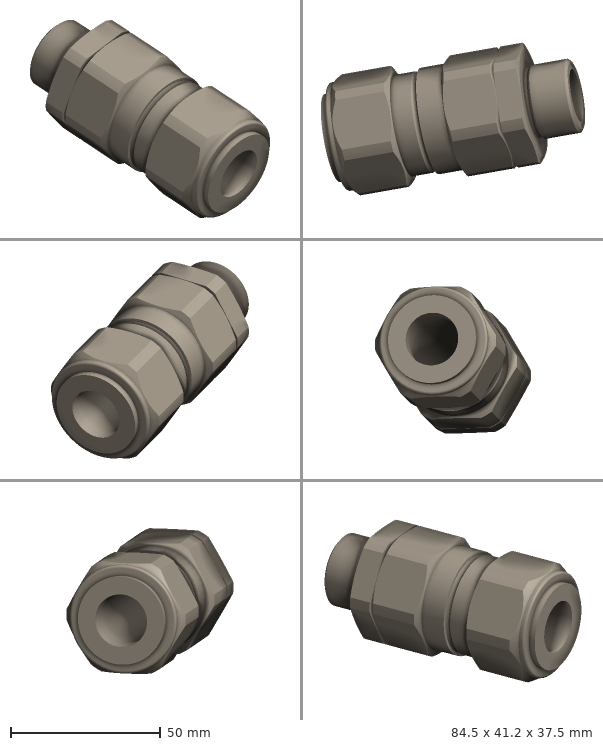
import cadquery as cq
import math


total_length = 84.55
bore_radius = 9.0

across_flats = 37.5
corner_radius = 20.6
hex_face_radius = 18.3

thread_radius = 12.6
thread_tip_radius = 11.5
thread_tip_chamfer = 0.85
thread_end = 13.0
thread_neck_radius = 11.5
thread_neck_start = 14.1
thread_neck_end = 14.4
thread_root_radius = 12.1

flange_start = 14.9
flange_chamfer = 0.7
body_hex_start = 23.25
body_hex_front_chamfer = 1.3
body_hex_end = 42.0
body_hex_back_chamfer = 1.4
nut_start = 59.8
nut_front_chamfer = 1.35
nut_cone_end = 80.3
nut_back_chamfer = 2.3

barrel_radius = 18.1
barrel_end = 50.7
groove_lip_radius = 17.0
groove_radius = 16.15
groove_start = 51.5
groove_end = 51.8
sleeve_start = 52.8
sleeve_radius = 17.25

nut_cone_radius = 18.4
nut_end = 82.3
nut_rim_fillet = 0.85
seal_radius = 15.0


def turned(profile):
    """Revolve a list of (x, radius) points about the X axis."""
    start_x = profile[0][0]
    end_x = profile[-1][0]
    outline = [(start_x, 0), *profile, (end_x, 0)]
    return cq.Workplane("XY").polyline(outline).close().revolve(360, (0, 0, 0), (1, 0, 0))


def hexagon(start_x, end_x, profile):
    """Hexagonal prism trimmed by a turned profile that rounds and chamfers its corners."""
    across_corners = across_flats / math.cos(math.pi / 6)
    prism = (
        cq.Workplane("YZ", origin=(start_x, 0, 0))
        .polygon(6, across_corners)
        .extrude(end_x - start_x)
    )
    return prism.intersect(turned(profile))


core = turned([
    (0, thread_tip_radius),
    (thread_tip_chamfer, thread_radius),
    (thread_end, thread_radius),
    (thread_neck_start, thread_neck_radius),
    (thread_neck_end, thread_neck_radius),
    (flange_start, thread_root_radius),
    (flange_start, barrel_radius),
    (barrel_end, barrel_radius),
    (barrel_end, groove_lip_radius),
    (groove_start, groove_radius),
    (groove_end, groove_radius),
    (sleeve_start, sleeve_radius),
    (nut_start, sleeve_radius),
])

flange = hexagon(flange_start, body_hex_start, [
    (flange_start, hex_face_radius),
    (flange_start + flange_chamfer, corner_radius),
    (body_hex_start, corner_radius),
])

body_hex = hexagon(body_hex_start, body_hex_end, [
    (body_hex_start, hex_face_radius),
    (body_hex_start + body_hex_front_chamfer, corner_radius),
    (body_hex_end - body_hex_back_chamfer, corner_radius),
    (body_hex_end, barrel_radius),
])

nut = hexagon(nut_start, nut_cone_end, [
    (nut_start, hex_face_radius),
    (nut_start + nut_front_chamfer, corner_radius),
    (nut_cone_end - nut_back_chamfer, corner_radius),
    (nut_cone_end, nut_cone_radius),
])

rim = turned([(nut_cone_end, nut_cone_radius), (nut_end, nut_cone_radius)])
rim = rim.faces(">X").edges().fillet(nut_rim_fillet)

seal = turned([(nut_end, seal_radius), (total_length, seal_radius)])

bore = turned([(0, bore_radius), (total_length, bore_radius)])

result = core.union(flange).union(body_hex).union(nut).union(rim).union(seal).cut(bore)